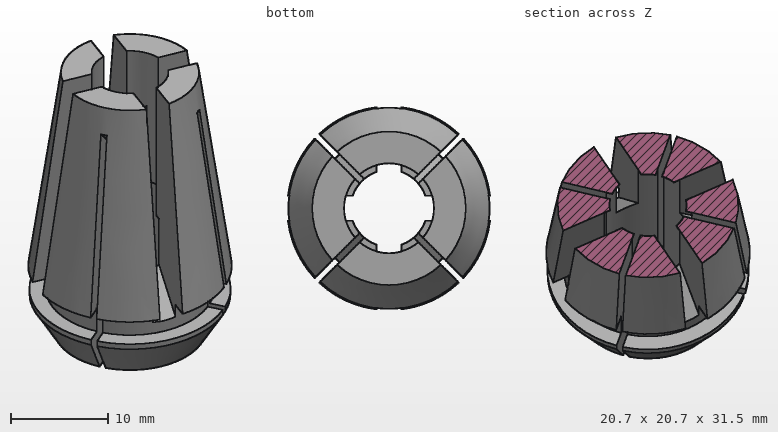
import cadquery as cq

total_height = 31.5
base_radius = 7.88
rim_radius = 10.33
rim_bottom = 4.22
rim_top = 4.85
groove_radius = 8.65
groove_top = 7.65
taper_large_radius = 10.45
taper_small_radius = 7.1
bore_radius = 4.6
grip_bore_radius = 3.95
grip_bore_bottom = 15.75

wide_slot_width = 2.55
wide_floor_at_bore = 9.95
wide_floor_at_groove = 6.15

narrow_slot_width = 0.65
narrow_slot_top = 28.45

clearance = 1.58
cut_reach = taper_large_radius + clearance
cut_top = total_height + clearance
floor_slope = (wide_floor_at_bore - wide_floor_at_groove) / (groove_radius - bore_radius)


def make_body():
    """Revolve the solid wall between the stepped bore and the stepped outer outline."""
    outline = [
        (bore_radius, 0),
        (base_radius, 0),
        (rim_radius, rim_bottom),
        (rim_radius, rim_top),
        (groove_radius, rim_top),
        (groove_radius, groove_top),
        (taper_large_radius, groove_top),
        (taper_small_radius, total_height),
        (grip_bore_radius, total_height),
        (grip_bore_radius, grip_bore_bottom),
        (bore_radius, grip_bore_bottom),
    ]
    return cq.Workplane("XZ").polyline(outline).close().revolve(360, (0, 0), (0, 1))


def wide_slot(angle):
    """Cutter for one side, sloping down to the groove and level beyond it."""
    floor_at_axis = wide_floor_at_bore + floor_slope * bore_radius
    profile = [
        (0, floor_at_axis),
        (groove_radius, wide_floor_at_groove),
        (cut_reach, wide_floor_at_groove),
        (cut_reach, cut_top),
        (0, cut_top),
    ]
    cutter = cq.Workplane("XZ").polyline(profile).close().extrude(wide_slot_width / 2, both=True)
    return cutter.rotate((0, 0, 0), (0, 0, 1), angle)


def narrow_slot(angle):
    """Cutter for one full-depth slot through the wall, from the base upward."""
    taper_slope = (taper_large_radius - taper_small_radius) / (total_height - groove_top)
    mouth_radius = taper_small_radius + taper_slope * (total_height - narrow_slot_top)
    profile = [
        (0, 0),
        (cut_reach, 0),
        (cut_reach, narrow_slot_top + cut_reach - mouth_radius),
        (0, narrow_slot_top - mouth_radius),
    ]
    cutter = cq.Workplane("XZ").polyline(profile).close().extrude(narrow_slot_width / 2, both=True)
    return cutter.rotate((0, 0, 0), (0, 0, 1), angle)


result = make_body()
for quarter_turn in (0, 90, 180, 270):
    result = result.cut(wide_slot(quarter_turn))
    result = result.cut(narrow_slot(quarter_turn + 45))